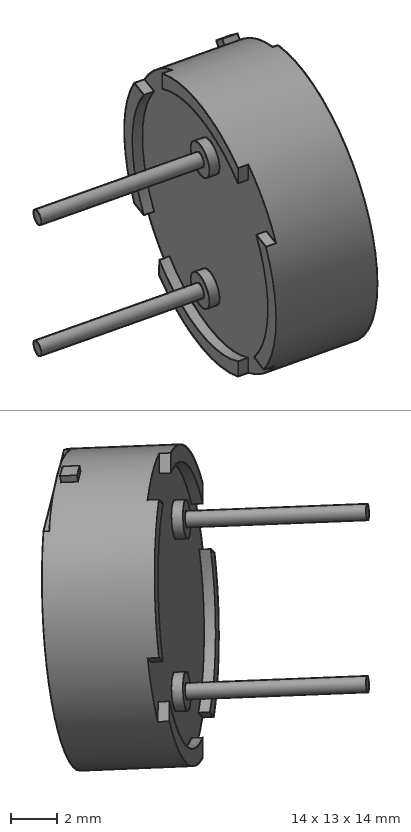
import cadquery as cq
import math

body_radius = 7.0
body_depth = 5.0
rim_height = 0.5
rim_inner_radius = 6.25

rim_half_length = 3.5
lean_angle = 3.0

pin_radius = 0.36
pin_length = 8.01
pin_offset = 3.81
boss_radius = 0.85

tab_width = 0.78
tab_length = 0.75
tab_back_gap = 0.5
tab_tilt = 43.0
tab_outer_x = -5.24
tab_outer_z = 5.1
tab_root_depth = 0.7

step_depth = 0.25
step_distance = rim_inner_radius
step_angle = 135.0


def plane_at(y):
    """Sketch plane facing -Y, with local axes X and Z."""
    return cq.Workplane("XZ", origin=(0, y, 0))


def rim_gap(side_x, side_z, lean_x, lean_z):
    """Cutter for one gap; a lean turns that gap wall about the housing axis."""
    slope_x = math.tan(math.radians(lean_x))
    slope_z = math.tan(math.radians(lean_z))
    reach = 2 * body_radius
    corner = (rim_half_length * (1 + slope_x), rim_half_length * (1 + slope_z))
    outline = [
        corner,
        (reach, rim_half_length + reach * slope_z),
        (reach, reach),
        (rim_half_length + reach * slope_x, reach),
    ]
    points = [(side_x * x, side_z * z) for x, z in outline]
    return plane_at(rim_height).polyline(points).close().extrude(rim_height)


def make_face_recess():
    """Cutter that lowers the front face and leaves the four rim segments standing."""
    recess = plane_at(rim_height).circle(rim_inner_radius).extrude(rim_height)
    gaps = [
        (-1, 1, 0, 0),
        (1, 1, 0, 0),
        (-1, -1, lean_angle, 0),
        (1, -1, 0, lean_angle),
    ]
    for gap in gaps:
        recess = recess.union(rim_gap(*gap))
    return recess


def make_pin(z):
    boss = plane_at(rim_height).center(0, z).circle(boss_radius).extrude(rim_height)
    pin = plane_at(rim_height).center(0, z).circle(pin_radius).extrude(rim_height + pin_length)
    return boss.union(pin)


def make_tab():
    tab = cq.Workplane("XY").box(tab_width, tab_length, tab_root_depth)
    tab = tab.translate((0, 0, -tab_root_depth / 2))
    tab = tab.rotate((0, 0, 0), (0, 1, 0), -tab_tilt)
    center_y = body_depth - tab_back_gap - tab_length / 2
    return tab.translate((tab_outer_x, center_y, tab_outer_z))


def make_back_step():
    cutter = cq.Workplane("XY").box(
        body_radius, step_depth, 2 * body_radius, centered=(False, False, True)
    )
    cutter = cutter.translate((step_distance, body_depth - step_depth, 0))
    return cutter.rotate((0, 0, 0), (0, 1, 0), -step_angle)


housing = plane_at(body_depth).circle(body_radius).extrude(body_depth)
housing = housing.cut(make_face_recess()).cut(make_back_step())
result = housing.union(make_tab())
for pin_z in (-pin_offset, pin_offset):
    result = result.union(make_pin(pin_z))